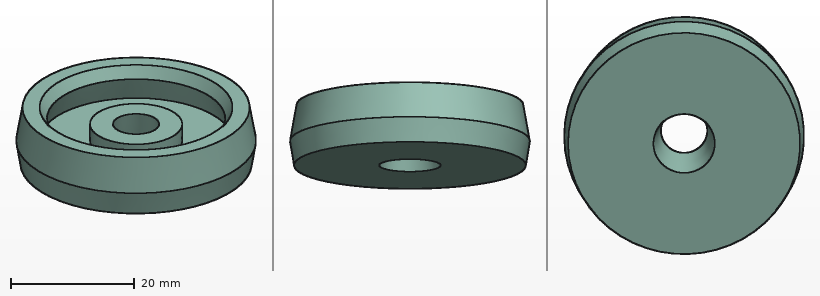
import cadquery as cq

height = 10.0
belt_height = 4.0
boss_top = height - 3.0
throat_height = height - 2.0
recess_floor = height - 6.0

belt_radius = 19.5
bottom_radius = 18.85
top_radius = 18.45

recess_mouth_radius = 15.68
throat_radius = 14.45
recess_floor_radius = recess_mouth_radius

boss_radius = 7.5
bore_top_radius = 3.75
bore_bottom_radius = 5.0

section = (
    cq.Workplane("XZ")
    .moveTo(bore_bottom_radius, 0)
    .lineTo(bottom_radius, 0)
    .lineTo(belt_radius, belt_height)
    .lineTo(top_radius, height)
    .lineTo(recess_mouth_radius, height)
    .lineTo(throat_radius, throat_height)
    .lineTo(recess_floor_radius, recess_floor)
    .lineTo(boss_radius, recess_floor)
    .lineTo(boss_radius, boss_top)
    .lineTo(bore_top_radius, boss_top)
    .close()
)
result = section.revolve(360, (0, 0, 0), (0, 1, 0))